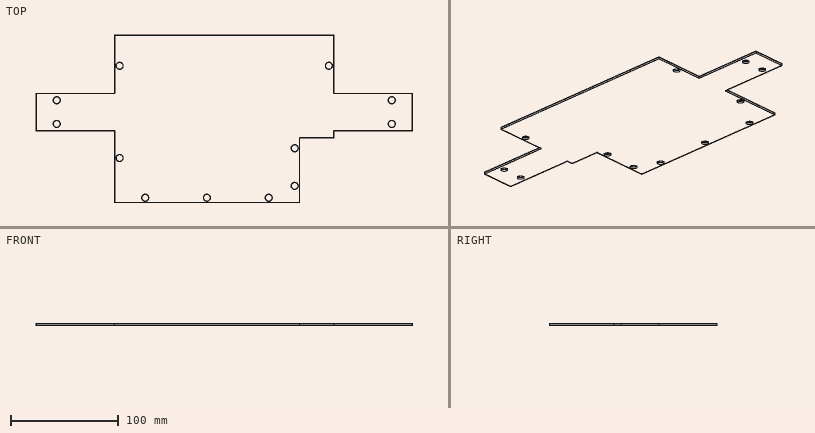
import cadquery as cq

length = 349.5
width = 155.5
thickness = 2.0

panel_length = 203.5
notch_length = 31.8
notch_width = 60.0

arm_width = 35.0
arm_center_y = 6.3

hole_diameter = 6.3
edge_inset = 4.5
arm_hole_span_x = 311.0
arm_hole_span_y = 22.0
upper_hole_y = 49.3
left_lower_hole_y = -36.5
notch_hole_top_y = -27.3
notch_hole_spacing = 35.0
bottom_hole_middle_x = -16.0
bottom_hole_pitch = 57.3

panel_half = panel_length / 2
front_y = -width / 2
notch_wall_x = panel_half - notch_length


def plate():
    """Notched panel joined to one full-length strip that forms both arms."""
    panel = cq.Workplane("XY").box(panel_length, width, thickness)
    notch = (
        cq.Workplane("XY")
        .center(panel_half - notch_length / 2, front_y + notch_width / 2)
        .box(notch_length, notch_width, thickness)
    )
    arms = cq.Workplane("XY").center(0, arm_center_y).box(length, arm_width, thickness)
    return panel.cut(notch).union(arms)


def hole_centers():
    """Centers of the holes in the arms and along the panel edges."""
    side_x = panel_half - edge_inset
    notch_side_x = notch_wall_x - edge_inset

    arm_holes = [
        (side * arm_hole_span_x / 2, arm_center_y + end * arm_hole_span_y / 2)
        for side in (-1, 1)
        for end in (-1, 1)
    ]
    side_holes = [
        (-side_x, upper_hole_y),
        (side_x, upper_hole_y),
        (-side_x, left_lower_hole_y),
    ]
    notch_holes = [
        (notch_side_x, notch_hole_top_y),
        (notch_side_x, notch_hole_top_y - notch_hole_spacing),
    ]
    bottom_holes = [
        (bottom_hole_middle_x + step * bottom_hole_pitch, front_y + edge_inset)
        for step in (-1, 0, 1)
    ]
    return arm_holes + side_holes + notch_holes + bottom_holes


holes = (
    cq.Workplane("XY")
    .workplane(offset=-thickness / 2)
    .pushPoints(hole_centers())
    .circle(hole_diameter / 2)
    .extrude(thickness)
)

result = plate().cut(holes)